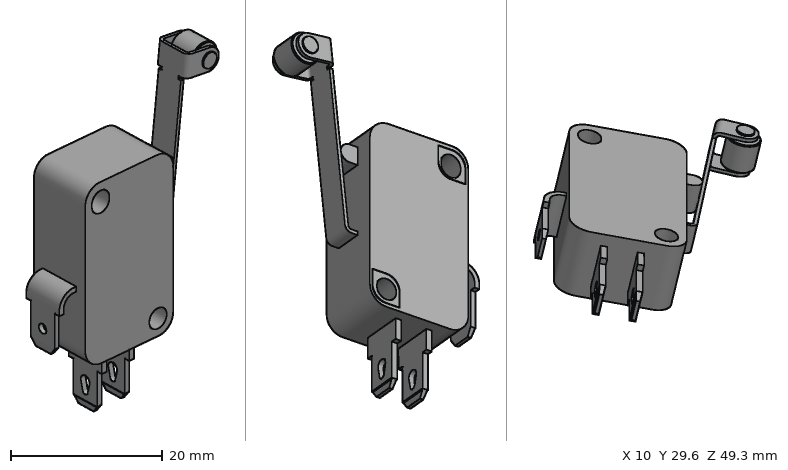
import cadquery as cq
import math


HOUSING_WIDTH = 10.0
HOUSING_DEPTH = 15.9
HOUSING_HEIGHT = 28.0
MOUNT_CORNER_RADIUS = 2.6
PLAIN_CORNER_RADIUS = 3.0

HOLE_DIAMETER = 3.15
HOLE_INSET = 2.75
SLOT_EXTRA = 0.3
PAD_WIDTH = 4.4
PAD_HEIGHT = 4.5
PAD_SIDE_MARGIN = 0.45
PAD_END_MARGIN = 0.6
PAD_RADIUS = 2.1
PAD_DEPTH = 0.1

SHOULDER_WIDTH = 6.45
BLADE_WIDTH = 4.65
TIP_LENGTH = 1.15
TIP_STEP = 0.15
TIP_TOP_WIDTH = 4.35
TIP_TOP_THICKNESS = 0.75
TIP_END_WIDTH = 2.95
TIP_END_THICKNESS = 0.55

BOTTOM_TERMINAL_YS = (5.1, 10.05)
BOTTOM_THICKNESS = 0.9
BOTTOM_SHOULDER_Z = -3.15
BOTTOM_TIP_Z = -9.75
EYE_TOP_Z = -4.8
EYE_BOTTOM_Z = -7.7
EYE_TOP_RADIUS = 0.85
EYE_BOTTOM_RADIUS = 0.5

SIDE_THICKNESS = 0.8
SIDE_REACH = 3.05
SIDE_BEND_RADIUS = 2.6
SIDE_TOP_Z = 12.2
SIDE_SHOULDER_Z = 8.85
SIDE_TIP_Z = 2.2
SIDE_HOLE_Z = 5.55
SIDE_HOLE_DIAMETER = 1.5

ROLLER_Y = 24.25
ROLLER_Z = 37.2
ROLLER_DIAMETER = 4.65
ROLLER_WIDTH = 4.35
ROLLER_CHAMFER = 0.15
PIN_DIAMETER = 2.4
PIN_LENGTH = 6.45

LEAN = math.radians(6.2)
SHEET = 0.55
STRIP_WIDTH = 4.35
WEB_OFFSET = 4.1
FORK_WIDTH = 5.95
FORK_HALF_HEIGHT = 1.8
FORK_BEND_RADIUS = 1.0
FOOT_BOTTOM_Z = 11.4
FOOT_BEND_RADIUS = 1.05
RELIEF_WIDTH = 0.55
RELIEF_HEIGHT = 0.45

PLUNGER_WIDTH = STRIP_WIDTH
PLUNGER_HEIGHT = 2.7
PLUNGER_Z = 23.4


def box(x_size, y_range, z_range):
    """A block centred on X = 0 between two Y values and two Z values."""
    y0, y1 = y_range
    z0, z1 = z_range
    return cq.Workplane("XY").box(x_size, y1 - y0, z1 - z0).translate((0, (y0 + y1) / 2, (z0 + z1) / 2))


def cylinder_x(diameter, length, y, z):
    """A cylinder along X, centred on X = 0."""
    return cq.Workplane("YZ", origin=(-length / 2, y, z)).circle(diameter / 2).extrude(length)



def pad_recess(y, z):
    """Shallow recess in the -X face around a mounting hole, two opposite corners rounded."""
    recess = cq.Workplane("YZ").center(y, z).rect(PAD_WIDTH, PAD_HEIGHT).extrude(PAD_DEPTH)
    recess = recess.edges("|X").edges("(<Y and >Z) or (>Y and <Z)").fillet(PAD_RADIUS)
    return recess.translate((-HOUSING_WIDTH / 2, 0, 0))


def housing_case():
    case = box(HOUSING_WIDTH, (0, HOUSING_DEPTH), (0, HOUSING_HEIGHT))
    case = case.edges("|X").edges("(<Y and >Z) or (>Y and <Z)").fillet(MOUNT_CORNER_RADIUS)
    case = case.edges("|X").edges("(<Y and <Z) or (>Y and >Z)").fillet(PLAIN_CORNER_RADIUS)

    pad_y = PAD_SIDE_MARGIN + PAD_WIDTH / 2
    pad_z = HOUSING_HEIGHT - PAD_END_MARGIN - PAD_HEIGHT / 2
    case = case.cut(pad_recess(pad_y, pad_z))
    case = case.cut(pad_recess(HOUSING_DEPTH - pad_y, HOUSING_HEIGHT - pad_z))

    round_hole = cylinder_x(HOLE_DIAMETER, HOUSING_WIDTH, HOUSING_DEPTH - HOLE_INSET, HOLE_INSET)
    slot_z = HOUSING_HEIGHT - HOLE_INSET - SLOT_EXTRA
    slot = (
        cq.Workplane("YZ")
        .center(HOLE_INSET, slot_z)
        .slot2D(HOLE_DIAMETER + SLOT_EXTRA, HOLE_DIAMETER, 90)
        .extrude(HOUSING_WIDTH / 2, both=True)
    )
    return case.cut(round_hole).cut(slot)


def frustum(y_middle, bottom_z, height, bottom_size, top_size):
    """Block that widens straight from a bottom rectangle to a top rectangle."""
    return (
        cq.Workplane("XY", origin=(0, y_middle, bottom_z))
        .rect(*bottom_size)
        .workplane(offset=height)
        .rect(*top_size)
        .loft(ruled=True)
    )


def blade(y_middle, thickness, top_z, tip_z):
    """Flat blade that hangs down from top_z, with a short bevel and then a tapered tip."""
    tip_top_z = tip_z + TIP_LENGTH - TIP_STEP
    bevel_top_z = tip_z + TIP_LENGTH
    end_size = (TIP_END_WIDTH, TIP_END_THICKNESS)
    tip_top_size = (TIP_TOP_WIDTH, TIP_TOP_THICKNESS)
    blade_size = (BLADE_WIDTH, thickness)
    flat = box(BLADE_WIDTH, (y_middle - thickness / 2, y_middle + thickness / 2), (bevel_top_z, top_z))
    bevel = frustum(y_middle, tip_top_z, TIP_STEP, tip_top_size, blade_size)
    tip = frustum(y_middle, tip_z, TIP_LENGTH - TIP_STEP, end_size, tip_top_size)
    return flat.union(bevel).union(tip)


def teardrop_eye(y):
    """Cutter along Y for a hole bounded by a large arc, a small arc and their common tangents."""
    top_z = EYE_TOP_Z - EYE_TOP_RADIUS
    bottom_z = EYE_BOTTOM_Z + EYE_BOTTOM_RADIUS
    rise = (EYE_TOP_RADIUS - EYE_BOTTOM_RADIUS) / (top_z - bottom_z)
    run = math.sqrt(1 - rise**2)
    top_x = EYE_TOP_RADIUS * run
    bottom_x = EYE_BOTTOM_RADIUS * run
    top_tangent_z = top_z - EYE_TOP_RADIUS * rise
    bottom_tangent_z = bottom_z - EYE_BOTTOM_RADIUS * rise
    return (
        cq.Workplane("XZ", origin=(0, y, 0))
        .moveTo(-top_x, top_tangent_z)
        .threePointArc((0, EYE_TOP_Z), (top_x, top_tangent_z))
        .lineTo(bottom_x, bottom_tangent_z)
        .threePointArc((0, EYE_BOTTOM_Z), (-bottom_x, bottom_tangent_z))
        .close()
        .extrude(BOTTOM_THICKNESS, both=True)
    )


def bottom_terminal(y):
    y_range = (y - BOTTOM_THICKNESS / 2, y + BOTTOM_THICKNESS / 2)
    shoulder = box(SHOULDER_WIDTH, y_range, (BOTTOM_SHOULDER_Z, 0))
    terminal = shoulder.union(blade(y, BOTTOM_THICKNESS, BOTTOM_SHOULDER_Z, BOTTOM_TIP_Z))
    return terminal.cut(teardrop_eye(y))


def side_terminal():
    """Terminal that leaves the Y = 0 face and bends down."""
    inner_radius = SIDE_BEND_RADIUS - SIDE_THICKNESS
    shoulder = (
        cq.Workplane("YZ")
        .moveTo(0, SIDE_TOP_Z)
        .lineTo(SIDE_BEND_RADIUS - SIDE_REACH, SIDE_TOP_Z)
        .radiusArc((-SIDE_REACH, SIDE_TOP_Z - SIDE_BEND_RADIUS), -SIDE_BEND_RADIUS)
        .lineTo(-SIDE_REACH, SIDE_SHOULDER_Z)
        .lineTo(SIDE_THICKNESS - SIDE_REACH, SIDE_SHOULDER_Z)
        .lineTo(SIDE_THICKNESS - SIDE_REACH, SIDE_TOP_Z - SIDE_BEND_RADIUS)
        .radiusArc((SIDE_BEND_RADIUS - SIDE_REACH, SIDE_TOP_Z - SIDE_THICKNESS), inner_radius)
        .lineTo(0, SIDE_TOP_Z - SIDE_THICKNESS)
        .close()
        .extrude(SHOULDER_WIDTH / 2, both=True)
    )
    blade_y = SIDE_THICKNESS / 2 - SIDE_REACH
    hole = (
        cq.Workplane("XZ", origin=(0, blade_y, SIDE_HOLE_Z))
        .circle(SIDE_HOLE_DIAMETER / 2)
        .extrude(SIDE_THICKNESS, both=True)
    )
    return shoulder.union(blade(blade_y, SIDE_THICKNESS, SIDE_SHOULDER_Z, SIDE_TIP_Z)).cut(hole)


def make_housing():
    """Case with its three fixed terminals."""
    body = housing_case().union(side_terminal())
    for y in BOTTOM_TERMINAL_YS:
        body = body.union(bottom_terminal(y))
    return body



LEVER_PLANE = cq.Plane(
    origin=(0, ROLLER_Y, ROLLER_Z),
    xDir=(0, math.cos(LEAN), -math.sin(LEAN)),
    normal=(1, 0, 0),
)


def strip_point(across, along):
    """Y and Z of a point given in the lever plane."""
    y = ROLLER_Y + across * math.cos(LEAN) + along * math.sin(LEAN)
    z = ROLLER_Z - across * math.sin(LEAN) + along * math.cos(LEAN)
    return y, z


def strip_point_at_z(across, z):
    """Y and Z where a line along the strip reaches height z."""
    along = (z - ROLLER_Z + across * math.sin(LEAN)) / math.cos(LEAN)
    return strip_point(across, along)


def lever_strip():
    """Foot against the housing and the leaning strip, bent from one sheet."""
    near = -WEB_OFFSET
    far = near + SHEET
    foot_top_z = FOOT_BOTTOM_Z + SHEET
    outer_corner = strip_point_at_z(far, FOOT_BOTTOM_Z)
    inner_corner = strip_point_at_z(near, foot_top_z)
    outline = [
        (HOUSING_DEPTH, FOOT_BOTTOM_Z),
        outer_corner,
        strip_point(far, -FORK_HALF_HEIGHT),
        strip_point(near, -FORK_HALF_HEIGHT),
        inner_corner,
        (HOUSING_DEPTH, foot_top_z),
    ]
    strip = cq.Workplane("YZ").polyline(outline).close().extrude(STRIP_WIDTH / 2, both=True)
    strip = strip.edges(cq.NearestToPointSelector((0, *outer_corner))).fillet(FOOT_BEND_RADIUS)
    strip = strip.edges(cq.NearestToPointSelector((0, *inner_corner))).fillet(FOOT_BEND_RADIUS - SHEET)

    relief_offset = (STRIP_WIDTH - RELIEF_WIDTH) / 2
    for side in (-1, 1):
        relief = (
            cq.Workplane(LEVER_PLANE)
            .center(SHEET / 2 - WEB_OFFSET, -FORK_HALF_HEIGHT - RELIEF_HEIGHT / 2)
            .workplane(offset=side * relief_offset)
            .rect(2 * SHEET, RELIEF_HEIGHT)
            .extrude(RELIEF_WIDTH / 2, both=True)
        )
        strip = strip.cut(relief)
    return strip


def fork_block(back, front, width, bend_radius):
    """Block of the fork's height in the lever plane, its two back edges rounded."""
    return (
        cq.Workplane("XY")
        .center((back + front) / 2, 0)
        .rect(front - back, 2 * FORK_HALF_HEIGHT)
        .extrude(width / 2, both=True)
        .edges("|Y and <X")
        .fillet(bend_radius)
    )


def lever_fork():
    """Web with two cheeks whose ends are round about the pin."""
    outer = fork_block(-WEB_OFFSET, 0, FORK_WIDTH, FORK_BEND_RADIUS)
    outer = outer.union(cq.Workplane("XY").circle(FORK_HALF_HEIGHT).extrude(FORK_WIDTH / 2, both=True))
    gap = fork_block(
        SHEET - WEB_OFFSET, FORK_HALF_HEIGHT, FORK_WIDTH - 2 * SHEET, FORK_BEND_RADIUS - SHEET
    )
    pin_hole = cq.Workplane("XY").circle(PIN_DIAMETER / 2).extrude(FORK_WIDTH / 2, both=True)
    fork = outer.cut(gap).cut(pin_hole)
    return cq.Workplane(fork.val().moved(cq.Location(LEVER_PLANE)))


def make_lever():
    return lever_strip().union(lever_fork())



def make_plunger():
    """Bar out of the housing whose round end just touches the lever."""
    radius = PLUNGER_HEIGHT / 2
    across = -WEB_OFFSET - radius
    end_y = strip_point_at_z(across, PLUNGER_Z)[0]
    return (
        cq.Workplane("YZ")
        .moveTo(HOUSING_DEPTH, PLUNGER_Z - radius)
        .lineTo(end_y, PLUNGER_Z - radius)
        .threePointArc((end_y + radius, PLUNGER_Z), (end_y, PLUNGER_Z + radius))
        .lineTo(HOUSING_DEPTH, PLUNGER_Z + radius)
        .close()
        .extrude(PLUNGER_WIDTH / 2, both=True)
    )


def make_roller():
    roller = cylinder_x(ROLLER_DIAMETER, ROLLER_WIDTH, ROLLER_Y, ROLLER_Z)
    roller = roller.faces("<X or >X").chamfer(ROLLER_CHAMFER)
    return roller.cut(cylinder_x(PIN_DIAMETER, ROLLER_WIDTH, ROLLER_Y, ROLLER_Z))


def make_pin():
    return cylinder_x(PIN_DIAMETER, PIN_LENGTH, ROLLER_Y, ROLLER_Z)


housing = make_housing()
plunger = make_plunger()
lever = make_lever()
roller = make_roller()
pin = make_pin()

result = cq.Compound.makeCompound(
    [housing.val(), plunger.val(), lever.val(), roller.val(), pin.val()]
)